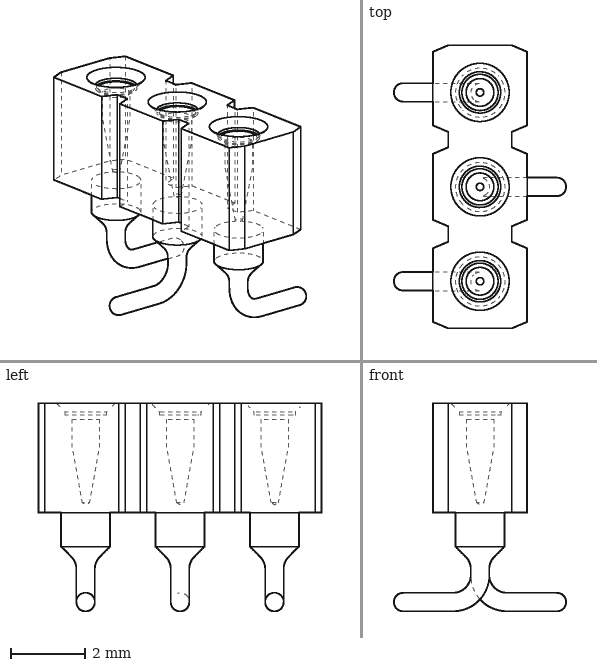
import cadquery as cq
import math

pin_count = 3
row_length = 7.62
pitch = row_length / pin_count
total_height = 5.6

body_width = pitch
body_height = 2.94
neck_width = 1.715
neck_length = 0.41
corner_run = 0.175
body_bottom = total_height - body_height

barrel_radius = 0.66
barrel_length = 0.915
wire_radius = 0.25
root_fillet_radius = 0.46
taper_angle = math.radians(45)
bend_radius = 0.725
tail_span = 4.64
foot_reach = tail_span / 2

mouth_radius = 0.785
seat_radius = 0.56
clip_entry_radius = 0.49
clip_radius = 0.37
clip_throat_radius = 0.1
mouth_depth = mouth_radius - seat_radius
seat_depth = 0.305
clip_depth = 0.435
finger_depth = 1.14
throat_depth = 2.67
tip_angle = math.radians(30)


def make_body():
    """Extrude the row outline, with bevelled corners and a notch between cells."""
    half_width = body_width / 2
    half_neck = neck_width / 2
    half_row = row_length / 2
    half_neck_length = neck_length / 2
    right_side = [(half_neck, -half_row), (half_width, -half_row + corner_run)]
    for gap in range(1, pin_count):
        gap_y = -half_row + gap * pitch
        right_side += [
            (half_width, gap_y - half_neck_length - corner_run),
            (half_neck, gap_y - half_neck_length),
            (half_neck, gap_y + half_neck_length),
            (half_width, gap_y + half_neck_length + corner_run),
        ]
    right_side += [(half_width, half_row - corner_run), (half_neck, half_row)]
    left_side = [(-x, y) for x, y in reversed(right_side)]
    outline = cq.Workplane("XY", origin=(0, 0, body_bottom)).polyline(right_side + left_side).close()
    return outline.extrude(body_height)


def make_barrel():
    """Revolve the barrel, its taper and the concave blend into the wire."""
    blend_radius = wire_radius + root_fillet_radius * (1 - math.cos(taper_angle))
    blend_height = root_fillet_radius * math.sin(taper_angle)
    half_angle = taper_angle / 2
    taper_top = body_bottom - barrel_length
    taper_bottom = taper_top - (barrel_radius - blend_radius) / math.tan(taper_angle)
    wire_top = taper_bottom - blend_height
    blend_middle = (
        wire_radius + root_fillet_radius * (1 - math.cos(half_angle)),
        wire_top + root_fillet_radius * math.sin(half_angle),
    )
    bend_top = wire_radius + bend_radius
    return (
        cq.Workplane("XZ")
        .moveTo(0, body_bottom)
        .lineTo(barrel_radius, body_bottom)
        .lineTo(barrel_radius, taper_top)
        .lineTo(blend_radius, taper_bottom)
        .threePointArc(blend_middle, (wire_radius, wire_top))
        .lineTo(wire_radius, bend_top)
        .lineTo(0, bend_top)
        .close()
        .revolve(360, (0, 0), (0, 1))
    )


def make_tail(side):
    """Bend the wire a quarter turn towards side (+1 or -1 along X) and round its end."""
    tip_centre = foot_reach - wire_radius
    bend = (
        cq.Workplane("XY")
        .workplane(offset=wire_radius + bend_radius)
        .circle(wire_radius)
        .revolve(90, (side * bend_radius, 0), (side * bend_radius, -side))
    )
    foot = (
        cq.Workplane("YZ", origin=(side * bend_radius, 0, wire_radius))
        .circle(wire_radius)
        .extrude(side * (tip_centre - bend_radius))
    )
    tip = cq.Workplane("XY").sphere(wire_radius).translate((side * tip_centre, 0, wire_radius))
    return bend.union(foot).union(tip)


def make_socket():
    """Cavity with a countersunk mouth, a flat seat and a contact clip narrowing to a pointed end."""
    tip_depth = throat_depth + clip_throat_radius * math.tan(tip_angle)
    edges = [
        (0, 0),
        (mouth_radius, 0),
        (seat_radius, mouth_depth),
        (seat_radius, seat_depth),
        (clip_entry_radius, seat_depth),
        (clip_radius, clip_depth),
        (clip_radius, finger_depth),
        (clip_throat_radius, throat_depth),
        (0, tip_depth),
    ]
    profile = [(radius, total_height - depth) for radius, depth in edges]
    return cq.Workplane("XZ").polyline(profile).close().revolve(360, (0, 0), (0, 1))


result = make_body()
for index in range(pin_count):
    side = -1 if index % 2 == 0 else 1
    position = (0, (index - (pin_count - 1) / 2) * pitch, 0)
    pin = make_barrel().union(make_tail(side))
    result = result.union(pin.translate(position))
    result = result.cut(make_socket().translate(position))